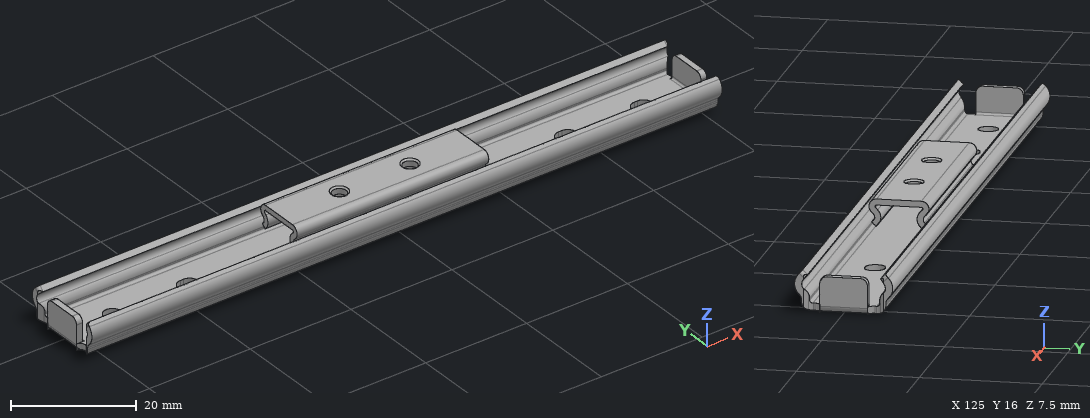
import cadquery as cq
import math


RAIL_LENGTH = 125.0
RAIL_WIDTH = 16.0
RAIL_SHEET = 1.2
TRACK_RADIUS = 2.4
TRACK_HEIGHT = 4.5
LIP_ANGLE = 45.0
LIP_LENGTH = 0.8
LIP_CORNER_RADIUS = 0.6
JOG_ANGLE = 48.0
JOG_RADIUS = 1.0
FLOOR_BEND_INNER_RADIUS = 0.5

TAB_HALF_WIDTH = 3.9
TAB_HEIGHT = 5.9
TAB_CORNER_RADIUS = 1.1
TAB_BEND_OUTER_RADIUS = 1.0
TAB_BEND_INNER_RADIUS = 0.4
RELIEF_RADIUS = 1.0
RELIEF_FLAT = 0.2

HOLE_DIAMETER = 3.2
SLOT_LENGTH = 3.9
OUTER_HOLE_X = 52.5
INNER_HOLE_X = 37.5

CARRIAGE_LENGTH = 38.0
CARRIAGE_X = -0.5
CARRIAGE_TOP = 7.5
CARRIAGE_SHEET = 1.0
SHOULDER_RADIUS = 1.2
SHOULDER_Y = 3.6
GROOVE_RADIUS = 0.8
LEG_ANGLE = 45.0
LEG_END_LENGTH = 0.4

TAP_SPACING = 14.0
TAP_DIAMETER = 2.6
TAP_CHAMFER = 0.31
COLLAR_DIAMETER = 4.0
COLLAR_BOTTOM = 6.1


def polar(center, radius, degrees):
    """Point at the given angle on a circle."""
    angle = math.radians(degrees)
    return (center[0] + radius * math.cos(angle), center[1] + radius * math.sin(angle))


def arc(path, center, radius, start, end):
    """Continue the path along an arc that begins at the current point."""
    return path.threePointArc(polar(center, radius, (start + end) / 2), polar(center, radius, end))


def extrude_along_rail(half_section, length):
    """Extrude a half section in Y and Z along X, centred on X = 0."""
    return half_section.close().extrude(length / 2, both=True)


def with_mirror_image(half):
    """Join a half that lies on the +Y side to its mirror image."""
    return half.union(half.mirror("XZ"))


def rail_channel():
    track = (RAIL_WIDTH / 2 - TRACK_RADIUS, TRACK_HEIGHT)
    track_inner = TRACK_RADIUS - RAIL_SHEET
    jog = polar(track, TRACK_RADIUS + JOG_RADIUS, -JOG_ANGLE)
    jog_inner = JOG_RADIUS + RAIL_SHEET
    bend_outer = FLOOR_BEND_INNER_RADIUS + RAIL_SHEET
    bend = (jog[0] - JOG_RADIUS - bend_outer, bend_outer)
    lip_direction = LIP_ANGLE + 90

    path = cq.Workplane("YZ").moveTo(0, 0).lineTo(bend[0], 0)
    path = arc(path, bend, bend_outer, -90, 0)
    path = path.lineTo(jog[0] - JOG_RADIUS, jog[1])
    path = arc(path, jog, JOG_RADIUS, 180, 180 - JOG_ANGLE)
    path = arc(path, track, TRACK_RADIUS, -JOG_ANGLE, LIP_ANGLE)
    path = path.lineTo(*polar(polar(track, TRACK_RADIUS, LIP_ANGLE), LIP_LENGTH, lip_direction))
    path = path.lineTo(*polar(polar(track, track_inner, LIP_ANGLE), LIP_LENGTH, lip_direction))
    path = path.lineTo(*polar(track, track_inner, LIP_ANGLE))
    path = arc(path, track, track_inner, LIP_ANGLE, -JOG_ANGLE)
    path = arc(path, jog, jog_inner, 180 - JOG_ANGLE, 180)
    path = path.lineTo(bend[0] + FLOOR_BEND_INNER_RADIUS, bend[1])
    path = arc(path, bend, FLOOR_BEND_INNER_RADIUS, 0, -90)
    path = path.lineTo(0, RAIL_SHEET)
    half = extrude_along_rail(path, RAIL_LENGTH)

    across_sheet = cq.Vector(0, math.cos(math.radians(LIP_ANGLE)), math.sin(math.radians(LIP_ANGLE)))
    tip_corners = half.edges(cq.selectors.ParallelDirSelector(across_sheet))
    return with_mirror_image(tip_corners.fillet(LIP_CORNER_RADIUS))


def end_opening():
    """Space cleared at the -X end: the tab's place and a relief notch on each side."""
    end = -RAIL_LENGTH / 2
    tab_side_corner = (end, TAB_HALF_WIDTH + RELIEF_RADIUS)
    wall_side_corner = (end, tab_side_corner[1] + RELIEF_FLAT)
    slope_end = wall_side_corner[1] + RELIEF_RADIUS * math.sqrt(2)
    path = cq.Workplane("XY").moveTo(end, TAB_HALF_WIDTH)
    path = arc(path, tab_side_corner, RELIEF_RADIUS, -90, 0)
    path = path.lineTo(end + RELIEF_RADIUS, wall_side_corner[1])
    path = arc(path, wall_side_corner, RELIEF_RADIUS, 0, 45)
    relief = path.lineTo(end, slope_end).close().extrude(CARRIAGE_TOP)
    tab_place = cq.Workplane("XY").box(
        RAIL_SHEET + TAB_BEND_INNER_RADIUS, 2 * TAB_HALF_WIDTH, RAIL_SHEET, centered=(False, True, False)
    ).translate((end, 0, 0))
    return tab_place.union(with_mirror_image(relief))


def end_tab():
    """Tab at the -X end, bent up from the rail floor."""
    end = -RAIL_LENGTH / 2
    floor_start = end + RAIL_SHEET + TAB_BEND_INNER_RADIUS
    outer_bend = (end + TAB_BEND_OUTER_RADIUS, TAB_BEND_OUTER_RADIUS)
    inner_bend = (floor_start, RAIL_SHEET + TAB_BEND_INNER_RADIUS)
    path = cq.Workplane("XZ").moveTo(floor_start, 0).lineTo(outer_bend[0], 0)
    path = arc(path, outer_bend, TAB_BEND_OUTER_RADIUS, 270, 180)
    path = path.lineTo(end, TAB_HEIGHT).lineTo(end + RAIL_SHEET, TAB_HEIGHT)
    path = path.lineTo(end + RAIL_SHEET, inner_bend[1])
    path = arc(path, inner_bend, TAB_BEND_INNER_RADIUS, 180, 270)
    tab = path.close().extrude(TAB_HALF_WIDTH, both=True)
    return tab.faces(">Z").edges("|X").fillet(TAB_CORNER_RADIUS)


def mounting_holes():
    """One round hole near the -X end locates the rail; the other three are slots along X."""
    floor = cq.Workplane("XY")
    hole = floor.center(-OUTER_HOLE_X, 0).circle(HOLE_DIAMETER / 2).extrude(RAIL_SHEET)
    slot_places = [(x, 0) for x in (-INNER_HOLE_X, INNER_HOLE_X, OUTER_HOLE_X)]
    slots = floor.pushPoints(slot_places).slot2D(SLOT_LENGTH, HOLE_DIAMETER).extrude(RAIL_SHEET)
    return hole.union(slots)


def make_rail():
    opening = end_opening()
    tab = end_tab()
    rail = rail_channel().cut(opening).cut(opening.mirror("YZ"))
    rail = rail.union(tab).union(tab.mirror("YZ"))
    return rail.cut(mounting_holes())


def carriage_channel():
    shoulder = (SHOULDER_Y, CARRIAGE_TOP - SHOULDER_RADIUS)
    shoulder_inner = SHOULDER_RADIUS - CARRIAGE_SHEET
    groove_inner = GROOVE_RADIUS + CARRIAGE_SHEET
    slope = math.radians(LEG_ANGLE)
    drop = shoulder[1] - TRACK_HEIGHT
    reach = SHOULDER_RADIUS + GROOVE_RADIUS
    groove = (shoulder[0] + (reach - drop * math.sin(slope)) / math.cos(slope), TRACK_HEIGHT)
    end_direction = LEG_ANGLE - 90

    path = cq.Workplane("YZ").moveTo(0, CARRIAGE_TOP).lineTo(shoulder[0], CARRIAGE_TOP)
    path = arc(path, shoulder, SHOULDER_RADIUS, 90, -LEG_ANGLE)
    path = path.lineTo(*polar(groove, GROOVE_RADIUS, 180 - LEG_ANGLE))
    path = arc(path, groove, GROOVE_RADIUS, 180 - LEG_ANGLE, 180 + LEG_ANGLE)
    path = path.lineTo(*polar(polar(groove, GROOVE_RADIUS, 180 + LEG_ANGLE), LEG_END_LENGTH, end_direction))
    path = path.lineTo(*polar(polar(groove, groove_inner, 180 + LEG_ANGLE), LEG_END_LENGTH, end_direction))
    path = path.lineTo(*polar(groove, groove_inner, 180 + LEG_ANGLE))
    path = arc(path, groove, groove_inner, 180 + LEG_ANGLE, 180 - LEG_ANGLE)
    path = path.lineTo(*polar(shoulder, shoulder_inner, -LEG_ANGLE))
    path = arc(path, shoulder, shoulder_inner, -LEG_ANGLE, 90)
    path = path.lineTo(0, CARRIAGE_TOP - CARRIAGE_SHEET)
    return with_mirror_image(extrude_along_rail(path, CARRIAGE_LENGTH))


def make_carriage():
    """Carriage with two chamfered tapped holes, each in a short collar under the top plate."""
    hole_places = [(-TAP_SPACING / 2, 0), (TAP_SPACING / 2, 0)]
    collars = (
        cq.Workplane("XY").workplane(offset=COLLAR_BOTTOM).pushPoints(hole_places)
        .circle(COLLAR_DIAMETER / 2).extrude(CARRIAGE_TOP - CARRIAGE_SHEET - COLLAR_BOTTOM)
    )
    carriage = carriage_channel().union(collars)
    top = cq.Workplane("XY").workplane(offset=CARRIAGE_TOP).pushPoints(hole_places)
    carriage = carriage.cut(top.circle(TAP_DIAMETER / 2).extrude(COLLAR_BOTTOM - CARRIAGE_TOP))
    carriage = carriage.faces(">Z").edges("%CIRCLE").chamfer(TAP_CHAMFER)
    return carriage.translate((CARRIAGE_X, 0, 0))


rail = make_rail()
carriage = make_carriage()

result = cq.Compound.makeCompound([rail.val(), carriage.val()])